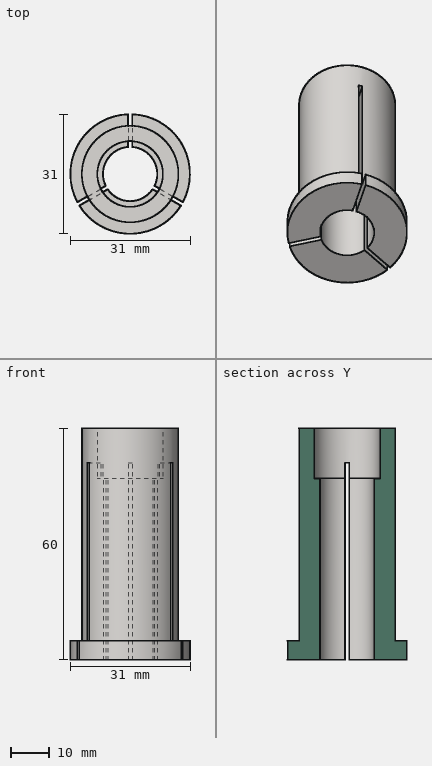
import cadquery as cq

total_height = 60.0
body_diameter = 25.0

flange_diameter = 31.0
flange_height = 5.0

grip_bore_diameter = 14.0
clearance_bore_diameter = 17.0
grip_length = 47.0

slot_count = 3
slot_width = 1.0
slot_height = 51.0
first_slot_angle = 90.0


def cylinder(diameter, height, base_z=0.0):
    """Upright cylinder on the Z axis, starting at base_z."""
    return cq.Workplane("XY").workplane(offset=base_z).circle(diameter / 2).extrude(height)


def flanged_body():
    """Sleeve with its bottom flange, before boring."""
    return cylinder(body_diameter, total_height).union(cylinder(flange_diameter, flange_height))


def stepped_bore():
    """Material removed by the through bore and its wider upper part."""
    grip_bore = cylinder(grip_bore_diameter, total_height)
    clearance_bore = cylinder(clearance_bore_diameter, total_height - grip_length, grip_length)
    return grip_bore.union(clearance_bore)


def slot(angle):
    """Radial slot from the axis through the wall on one side, open at the bottom."""
    return (
        cq.Workplane("XY")
        .box(flange_diameter, slot_width, slot_height, centered=(False, True, False))
        .rotate((0, 0, 0), (0, 0, 1), angle)
    )


result = flanged_body().cut(stepped_bore())
for index in range(slot_count):
    result = result.cut(slot(first_slot_angle + index * 360.0 / slot_count))